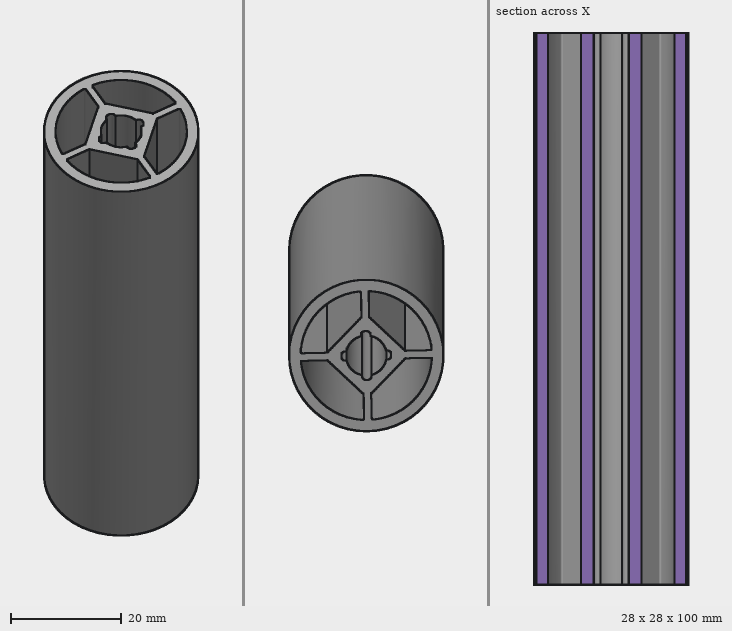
import cadquery as cq

length = 100.0
outer_diameter = 28.0
wall = 2.1
core_side = 11.0
spoke_width = 1.4
pocket_tip_radius = 0.3

bore_diameter = 7.4
groove_width = 1.7
groove_tip_radius = 0.7
groove_span = 9.0

inner_diameter = outer_diameter - 2 * wall
diagonal_angles = (45, 135)


def cylinder(diameter):
    return cq.Workplane("XY").circle(diameter / 2).extrude(length)


def diagonal_bar(span, width, angle):
    bar = cq.Workplane("XY").rect(span, width).extrude(length)
    return bar.rotate((0, 0, 0), (0, 0, 1), angle)


def make_pockets():
    """Four openings between the tube wall, the core and the spokes."""
    core = cq.Workplane("XY").rect(core_side, core_side).extrude(length)
    pockets = cylinder(inner_diameter).cut(core)
    for angle in diagonal_angles:
        pockets = pockets.cut(diagonal_bar(outer_diameter, spoke_width, angle))
    inside = cq.selectors.BoxSelector(
        (-core_side / 2 - wall, -core_side / 2 - wall, 0),
        (core_side / 2 + wall, core_side / 2 + wall, length),
    )
    tips = pockets.edges("|Z").edges(cq.selectors.InverseSelector(inside))
    return tips.fillet(pocket_tip_radius)


def make_bore():
    """Round bore with rounded grooves along both diagonals."""
    bore = cylinder(bore_diameter)
    for angle in diagonal_angles:
        groove = diagonal_bar(groove_span, groove_width, angle)
        bore = bore.union(groove.edges("|Z").fillet(groove_tip_radius))
    return bore


result = cylinder(outer_diameter).cut(make_pockets()).cut(make_bore())